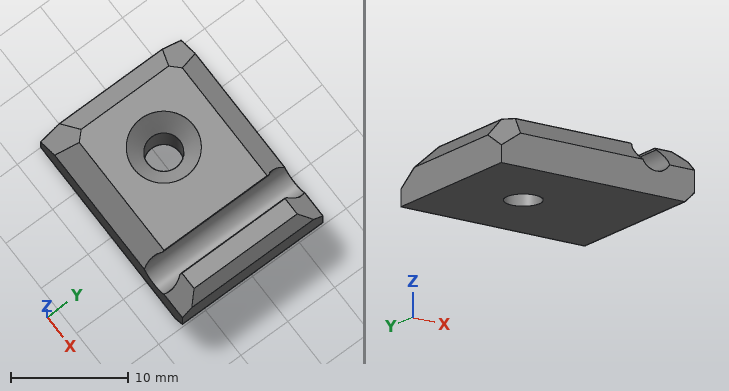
import cadquery as cq
import math

LENGTH = 20.07
WIDTH = 15.0
HEIGHT = 5.0

BEVEL = 2.0
END_BEVEL = 1.0

HOLE_X = 7.5
HOLE_DIAMETER = 3.4
COUNTERSINK_DIAMETER = 6.4
COUNTERSINK_ANGLE = 90.0

GROOVE_DIAMETER = 3.2
GROOVE_MOUTH = 2.5
GROOVE_FROM_END = 4.0
GROOVE_AXIS_Z = 3.8


def side_profile_body():
    """Block with the bevels of both ends, extruded across the width."""
    outline = [
        (0, 0),
        (LENGTH - END_BEVEL, 0),
        (LENGTH, END_BEVEL),
        (LENGTH, HEIGHT - END_BEVEL),
        (LENGTH - END_BEVEL, HEIGHT),
        (BEVEL, HEIGHT),
        (0, HEIGHT - BEVEL),
    ]
    return cq.Workplane("XZ").polyline(outline).close().extrude(WIDTH / 2, both=True)


def end_profile_envelope():
    """Cross-section with beveled long sides, extruded along the length."""
    half_width = WIDTH / 2
    outline = [
        (-half_width, 0),
        (half_width, 0),
        (half_width, HEIGHT - BEVEL),
        (half_width - BEVEL, HEIGHT),
        (-half_width + BEVEL, HEIGHT),
        (-half_width, HEIGHT - BEVEL),
    ]
    return cq.Workplane("YZ").polyline(outline).close().extrude(LENGTH)


def corner_cutter(side):
    """Tetrahedron above the 45 degree plane that bevels a -X corner (side is +1 or -1 in Y).

    The plane passes BEVEL away from the corner on both walls at the height where
    the side bevels start, so it meets the vertical corner edge a little lower.
    """
    low_z = HEIGHT - BEVEL - BEVEL / math.sqrt(2)
    top_reach = math.sqrt(2) * (HEIGHT - low_z)
    corner_y = side * WIDTH / 2
    apex = cq.Vector(0, corner_y, low_z)
    top_corner = cq.Vector(0, corner_y, HEIGHT)
    top_along_x = cq.Vector(top_reach, corner_y, HEIGHT)
    top_along_y = cq.Vector(0, corner_y - side * top_reach, HEIGHT)
    triangles = [
        (apex, top_along_x, top_along_y),
        (apex, top_corner, top_along_x),
        (apex, top_along_y, top_corner),
        (top_corner, top_along_y, top_along_x),
    ]
    outlines = [cq.Wire.makePolygon(list(points), close=True) for points in triangles]
    faces = [cq.Face.makeFromWires(outline) for outline in outlines]
    return cq.Workplane(cq.Solid.makeSolid(cq.Shell.makeShell(faces)).fix())


def rod_groove():
    """Round channel with a straight mouth opening through the top face."""
    axis_x = LENGTH - GROOVE_FROM_END
    mouth_height = HEIGHT - GROOVE_AXIS_Z
    section = cq.Workplane("XZ").center(axis_x, GROOVE_AXIS_Z)
    channel = section.circle(GROOVE_DIAMETER / 2).extrude(WIDTH / 2, both=True)
    mouth = section.center(0, mouth_height / 2).rect(GROOVE_MOUTH, mouth_height).extrude(WIDTH / 2, both=True)
    return channel.union(mouth)


def add_screw_hole(body):
    """Countersunk through hole on the centre line."""
    top_plane = cq.Workplane("XY", origin=(HOLE_X, 0, HEIGHT))
    return body.copyWorkplane(top_plane).cskHole(HOLE_DIAMETER, COUNTERSINK_DIAMETER, COUNTERSINK_ANGLE)


body = side_profile_body().intersect(end_profile_envelope())
for side in (-1, 1):
    body = body.cut(corner_cutter(side))
body = body.cut(rod_groove())
result = add_screw_hole(body)